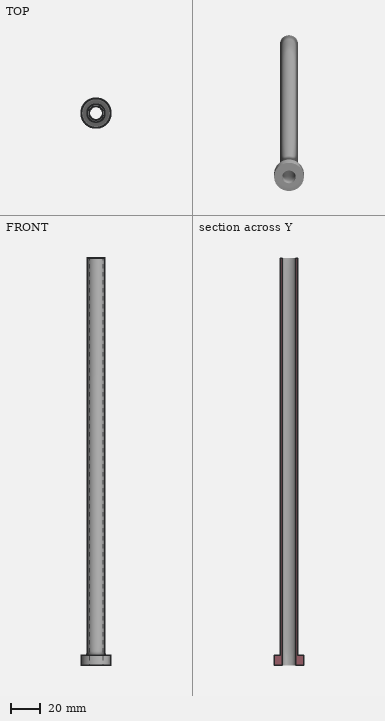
import cadquery as cq

total_length = 275.0
head_diameter = 20.0
head_height = 7.0
shaft_diameter = 12.0
bore_diameter = 9.0
neck_fillet_radius = 0.8

head = cq.Workplane("XY").circle(head_diameter / 2).extrude(head_height)
shaft = cq.Workplane("XY").circle(shaft_diameter / 2).extrude(total_length)
sleeve = head.union(shaft)

head_top = sleeve.faces(cq.selectors.NearestToPointSelector((0, 0, head_height)))
neck_edge = head_top.edges(cq.selectors.RadiusNthSelector(0))
sleeve = neck_edge.fillet(neck_fillet_radius)

bore = cq.Workplane("XY").circle(bore_diameter / 2).extrude(total_length)
result = sleeve.cut(bore)